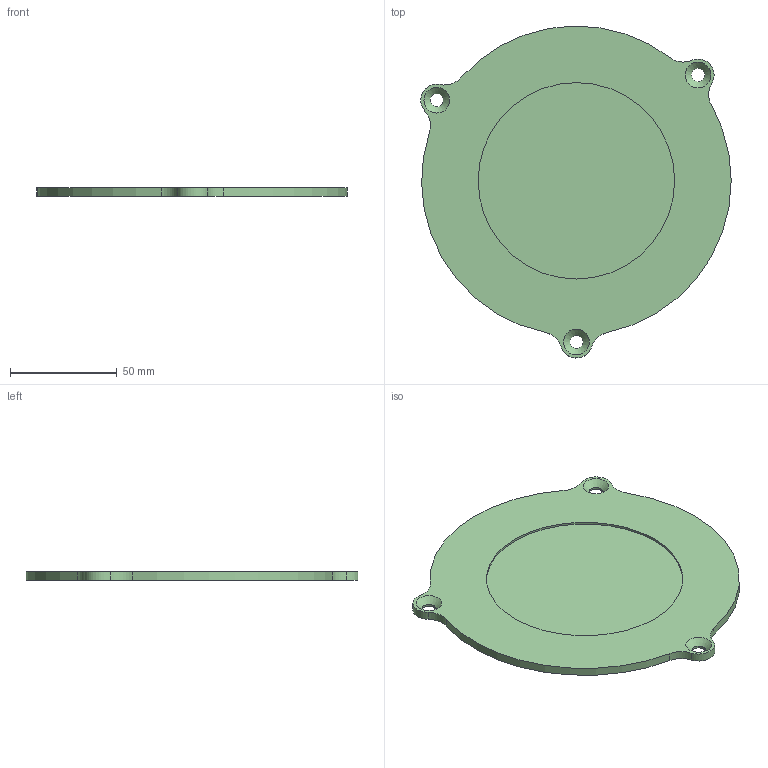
import cadquery as cq
import math

THICKNESS = 4.0
DISC_RADIUS = 72.5
RECESS_DIAMETER = 92.0
RECESS_DEPTH = 1.0

EAR_ANGLES = (41.0, 150.0, 270.0)
EAR_CIRCLE_RADIUS = 75.5
EAR_RADIUS = 7.5
EAR_BLEND_RADIUS = 10.0

HOLE_DIAMETER = 6.2
COUNTERSINK_DIAMETER = 12.0
COUNTERSINK_ANGLE = 90.0


def polar_point(radius, angle):
    """Return the XY point at the given radius and angle in degrees."""
    radians = math.radians(angle)
    return (radius * math.cos(radians), radius * math.sin(radians))


def make_ear(angle):
    """Return an ear, with its wedge of disc, whose sides meet the rim in concave arcs."""
    blend_centre_radius = DISC_RADIUS + EAR_BLEND_RADIUS
    centre_distance = EAR_RADIUS + EAR_BLEND_RADIUS
    cos_blend = (blend_centre_radius**2 + EAR_CIRCLE_RADIUS**2 - centre_distance**2) / (
        2 * blend_centre_radius * EAR_CIRCLE_RADIUS
    )
    blend_angle = math.degrees(math.acos(cos_blend))
    ear_centre = cq.Vector(*polar_point(EAR_CIRCLE_RADIUS, angle))
    ear_tip = polar_point(EAR_CIRCLE_RADIUS + EAR_RADIUS, angle)

    def blend_points(side):
        """Return the rim tangent, arc middle and ear tangent points of one blend."""
        centre_angle = angle + side * blend_angle
        centre = cq.Vector(*polar_point(blend_centre_radius, centre_angle))
        to_rim = -centre.normalized()
        to_ear = (ear_centre - centre).normalized()
        directions = (to_rim, (to_rim + to_ear).normalized(), to_ear)
        return [(centre + direction * EAR_BLEND_RADIUS).toTuple()[:2] for direction in directions]

    first_rim, first_middle, first_ear = blend_points(-1)
    second_rim, second_middle, second_ear = blend_points(1)
    return (
        cq.Workplane("XY")
        .moveTo(0, 0)
        .lineTo(*first_rim)
        .threePointArc(first_middle, first_ear)
        .threePointArc(ear_tip, second_ear)
        .threePointArc(second_middle, second_rim)
        .close()
        .extrude(THICKNESS)
    )


def make_plate():
    """Return the flat disc joined with its ears."""
    plate = cq.Workplane("XY").circle(DISC_RADIUS).extrude(THICKNESS)
    for angle in EAR_ANGLES:
        plate = plate.union(make_ear(angle))
    return plate


def cut_recess(plate):
    """Cut the shallow round recess in the top face."""
    recess = (
        cq.Workplane("XY")
        .workplane(offset=THICKNESS - RECESS_DEPTH)
        .circle(RECESS_DIAMETER / 2)
        .extrude(RECESS_DEPTH)
    )
    return plate.cut(recess)


def cut_screw_holes(plate):
    """Drill a through hole, countersunk from the top, at every ear centre."""
    hole_centres = [polar_point(EAR_CIRCLE_RADIUS, angle) for angle in EAR_ANGLES]
    return (
        plate.copyWorkplane(cq.Workplane("XY", origin=(0, 0, THICKNESS)))
        .pushPoints(hole_centres)
        .cskHole(HOLE_DIAMETER, COUNTERSINK_DIAMETER, COUNTERSINK_ANGLE)
    )


result = cut_screw_holes(cut_recess(make_plate()))